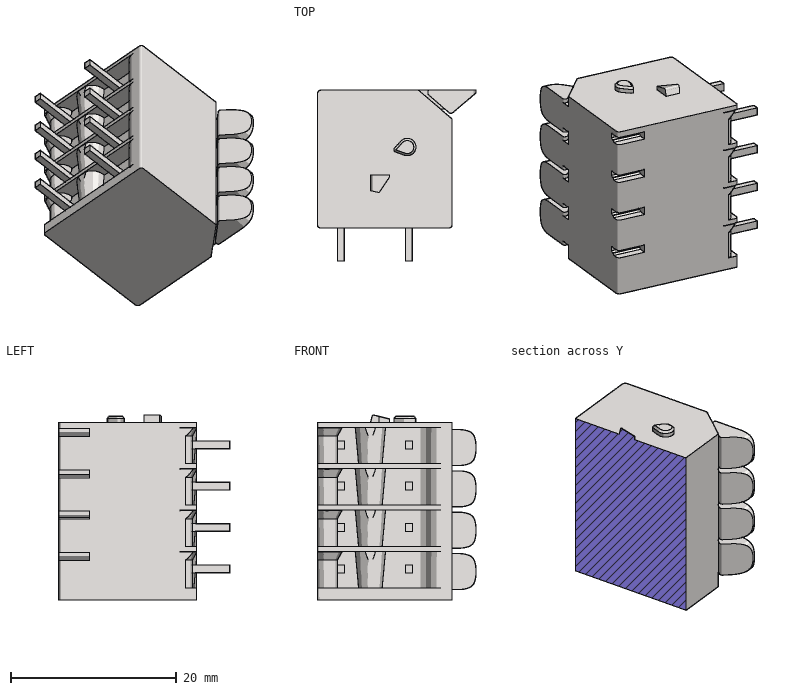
import cadquery as cq
import math


POLES = 4
PITCH = 5.0
WIDTH = 16.3
DEPTH = 16.7
BASE_WALL = 1.5
HEIGHT = BASE_WALL + POLES * PITCH

LEVER_CHAMFER_X = 4.1
LEVER_CHAMFER_Y = 3.5
BACK_ROUND = 0.45
FRONT_ROUND = 0.36

POCKET_HEIGHT = 4.4
POCKET_DEPTH = 2.0
POCKET_END_X = 14.9
POCKET_CURVE_X = 12.05

POST_X = 1.18
POST_Y = 1.78
POST_RADIUS = 1.25
POST_HEAD_RADIUS = 1.8
POST_HEAD_HEIGHT = 1.0
POST_GAP = 0.06

COLUMN_X = 6.41
COLUMN_Y = 1.79
COLUMN_FLAT_Y = 0.06
COLUMN_BOTTOM_RADIUS = 1.44
COLUMN_TOP_RADIUS = 1.84

PIN_WIDTH = 0.86
PIN_HEIGHT = 0.96
PIN_LENGTH = 4.0
PIN_CENTRES_X = (2.84, 11.07)
PIN_RISE = 2.29
PIN_EMBED = 1.0

SLOT_LENGTH = 3.7
SLOT_HEIGHT = 0.97
SLOT_RISE = 3.3
SLOT_FLOOR_DEPTH = 1.0
SLOT_RAMP = 0.2
SLOT_LEDGE = 0.15

LEVER_TIP_X = 19.2
LEVER_ROOT_X = 13.35
LEVER_ROOT_EDGE = 0.5
LEVER_TIP_EDGE = 0.35
LEVER_CORNER_X = 16.15
LEVER_CORNER_Y = 13.75
LEVER_CORNER_ROUND = 0.38
LEVER_ROOT_ROUND = 0.24
LEVER_HEIGHT = 4.38
LEVER_RISE = -0.23
LEVER_SHOULDER_START_X = 2.0
LEVER_SHOULDER_END = (0.9, 0.2)
LEVER_TIP_START = (0.15, 1.0)

STEM_START_X = WIDTH - LEVER_CHAMFER_X
STEM_END_X = 15.45
STEM_FRONT_Y = 14.4
STEM_INSET = 0.5

STUD_BIG = (10.87, 9.80, 1.05)
STUD_SMALL = (9.57, 9.48, 0.31)
STUD_HEIGHT = 0.77
STUD_CHAMFER_HEIGHT = 0.27
STUD_CHAMFER_WIDTH = 0.26

KEY_LEFT = 6.43
KEY_RIGHT = 8.74
KEY_HEIGHT = 0.9
KEY_LOW_HEIGHT = 0.42
KEY_DRAFT = 0.15
KEY_ROUND = 0.25
KEY_BACK_Y = 6.4
KEY_RIGHT_Y = 6.2
KEY_FRONT = (7.47, 4.29)
KEY_LEFT_Y = 4.52


def pole_floors():
    """Z of the pocket floor of every pole."""
    return [BASE_WALL + i * PITCH for i in range(POLES)]


def make_housing():
    """Solid block with the lever corner cut off and three vertical edges rounded."""
    body = (
        cq.Workplane("XY")
        .moveTo(0, 0)
        .lineTo(WIDTH, 0)
        .lineTo(WIDTH, DEPTH - LEVER_CHAMFER_Y)
        .lineTo(WIDTH - LEVER_CHAMFER_X, DEPTH)
        .lineTo(0, DEPTH)
        .close()
        .extrude(HEIGHT)
    )
    back_corner = cq.selectors.NearestToPointSelector((0, DEPTH, HEIGHT / 2))
    body = body.edges("|Z").edges(back_corner).fillet(BACK_ROUND)
    return body.faces("<Y").edges("|Z").fillet(FRONT_ROUND)


def make_pocket(floor_z):
    """Pocket whose +X end is an S-curve of two equal arcs."""
    half_x = (POCKET_END_X - POCKET_CURVE_X) / 2
    half_y = POCKET_DEPTH / 2
    mid_x = POCKET_CURVE_X + half_x
    radius = (half_x**2 + half_y**2) / (2 * half_y)
    half_angle = math.asin(half_x / radius) / 2
    bulge_x = radius * math.sin(half_angle)
    bulge_y = radius * (1 - math.cos(half_angle))
    return (
        cq.Workplane("XY", origin=(0, 0, floor_z))
        .moveTo(0, 0)
        .lineTo(POCKET_END_X, 0)
        .threePointArc((POCKET_END_X - bulge_x, bulge_y), (mid_x, half_y))
        .threePointArc((POCKET_CURVE_X + bulge_x, POCKET_DEPTH - bulge_y), (POCKET_CURVE_X, POCKET_DEPTH))
        .lineTo(0, POCKET_DEPTH)
        .close()
        .extrude(POCKET_HEIGHT)
    )


def make_post(floor_z):
    """Round post with a cone flaring up to a thin gap below the pocket ceiling."""
    shaft_height = POCKET_HEIGHT - POST_GAP
    shaft = (
        cq.Workplane("XY", origin=(POST_X, POST_Y, floor_z))
        .circle(POST_RADIUS)
        .extrude(shaft_height)
    )
    head = cq.Workplane(
        cq.Solid.makeCone(
            POST_RADIUS,
            POST_HEAD_RADIUS,
            POST_HEAD_HEIGHT,
            cq.Vector(POST_X, POST_Y, floor_z + shaft_height - POST_HEAD_HEIGHT),
        )
    )
    return shaft.union(head)


def make_column(floor_z):
    """Tapered column with a flat that trims its bulge just behind the pin face."""
    cone = cq.Workplane(
        cq.Solid.makeCone(
            COLUMN_BOTTOM_RADIUS,
            COLUMN_TOP_RADIUS,
            POCKET_HEIGHT,
            cq.Vector(COLUMN_X, COLUMN_Y, floor_z),
        )
    )
    trim = cq.Workplane("XY").box(
        2 * COLUMN_TOP_RADIUS, DEPTH, POCKET_HEIGHT, centered=(True, False, False)
    ).translate((COLUMN_X, COLUMN_FLAT_Y, floor_z))
    return cone.intersect(trim)


def make_pin(center_x, floor_z):
    """Rectangular pin that starts inside the pocket's back wall."""
    return cq.Workplane("XY").box(
        PIN_WIDTH, PIN_LENGTH + POCKET_DEPTH + PIN_EMBED, PIN_HEIGHT, centered=(True, False, True)
    ).translate((center_x, -PIN_LENGTH, floor_z + PIN_RISE))


def make_slot(floor_z):
    """Side slot with two short ramps and a ledge between its floor and its inner wall."""
    inner_x = SLOT_FLOOR_DEPTH + 2 * SLOT_RAMP + SLOT_LEDGE
    bottom_z = floor_z + SLOT_RISE
    return (
        cq.Workplane("XZ", origin=(0, DEPTH, 0))
        .moveTo(0, bottom_z)
        .lineTo(SLOT_FLOOR_DEPTH, bottom_z)
        .lineTo(SLOT_FLOOR_DEPTH + SLOT_RAMP, bottom_z + SLOT_RAMP)
        .lineTo(inner_x - SLOT_RAMP, bottom_z + SLOT_RAMP)
        .lineTo(inner_x, bottom_z + 2 * SLOT_RAMP)
        .lineTo(inner_x, bottom_z + SLOT_HEIGHT)
        .lineTo(0, bottom_z + SLOT_HEIGHT)
        .close()
        .extrude(SLOT_LENGTH)
    )


def make_lever(floor_z):
    """Triangular lever with a rounded tip, and the stem joining it to the housing."""
    bottom_z = floor_z + LEVER_RISE
    half_height = LEVER_HEIGHT / 2
    shoulder_end = (LEVER_TIP_X - LEVER_SHOULDER_END[0], half_height - LEVER_SHOULDER_END[1])
    tip_start = (LEVER_TIP_X - LEVER_TIP_START[0], half_height - LEVER_TIP_START[1])
    plan = (
        cq.Workplane("XY", origin=(0, 0, bottom_z))
        .moveTo(LEVER_ROOT_X, DEPTH)
        .lineTo(LEVER_ROOT_X, DEPTH - LEVER_ROOT_EDGE)
        .lineTo(LEVER_CORNER_X, LEVER_CORNER_Y)
        .lineTo(LEVER_TIP_X, DEPTH - LEVER_TIP_EDGE)
        .lineTo(LEVER_TIP_X, DEPTH)
        .close()
        .extrude(LEVER_HEIGHT)
        .edges("|Z and <Y")
        .fillet(LEVER_CORNER_ROUND)
        .edges("|Z and <X")
        .fillet(LEVER_ROOT_ROUND)
    )
    rounding = (
        cq.Workplane("XZ", origin=(0, DEPTH, bottom_z + half_height))
        .moveTo(LEVER_ROOT_X, 0)
        .lineTo(LEVER_ROOT_X, half_height)
        .lineTo(LEVER_TIP_X - LEVER_SHOULDER_START_X, half_height)
        .tangentArcPoint(shoulder_end, relative=False)
        .tangentArcPoint(tip_start, relative=False)
        .tangentArcPoint((LEVER_TIP_X, 0), relative=False)
        .mirrorX()
        .extrude(DEPTH)
    )
    stem = cq.Workplane("XY").box(
        STEM_END_X - STEM_START_X,
        DEPTH - STEM_FRONT_Y,
        LEVER_HEIGHT - 2 * STEM_INSET,
        centered=False,
    ).translate((STEM_START_X, STEM_FRONT_Y, bottom_z + STEM_INSET))
    return plan.intersect(rounding).union(stem)


def circle_point(circle, angle):
    """Point on a circle (x, y, radius) at the given angle."""
    center_x, center_y, radius = circle
    return (center_x + radius * math.cos(angle), center_y + radius * math.sin(angle))


def make_stud():
    """Drop shape: two circles joined by their outer tangents, chamfered on top."""
    span_x = STUD_BIG[0] - STUD_SMALL[0]
    span_y = STUD_BIG[1] - STUD_SMALL[1]
    axis = math.atan2(span_y, span_x)
    spread = math.acos((STUD_SMALL[2] - STUD_BIG[2]) / math.hypot(span_x, span_y))
    upper = axis + spread
    lower = axis - spread
    return (
        cq.Workplane("XY", origin=(0, 0, HEIGHT))
        .moveTo(*circle_point(STUD_BIG, lower))
        .threePointArc(circle_point(STUD_BIG, axis), circle_point(STUD_BIG, upper))
        .lineTo(*circle_point(STUD_SMALL, upper))
        .threePointArc(circle_point(STUD_SMALL, axis + math.pi), circle_point(STUD_SMALL, lower))
        .close()
        .extrude(STUD_HEIGHT)
        .faces(">Z")
        .edges()
        .chamfer(STUD_CHAMFER_HEIGHT, STUD_CHAMFER_WIDTH)
    )


def make_key():
    """Wedge with a drafted, rounded left side and a top that falls toward +X."""
    plan = (
        cq.Workplane("XY", origin=(0, 0, HEIGHT))
        .polyline(
            [
                (KEY_LEFT, KEY_LEFT_Y),
                KEY_FRONT,
                (KEY_RIGHT, KEY_RIGHT_Y),
                (KEY_RIGHT, KEY_BACK_Y),
                (KEY_LEFT, KEY_BACK_Y),
            ]
        )
        .close()
        .extrude(KEY_HEIGHT)
    )
    profile = (
        cq.Workplane("XZ", origin=(0, DEPTH, HEIGHT))
        .moveTo(KEY_LEFT, 0)
        .lineTo(KEY_LEFT + KEY_DRAFT, KEY_HEIGHT - KEY_ROUND)
        .radiusArc((KEY_LEFT + KEY_DRAFT + KEY_ROUND, KEY_HEIGHT), KEY_ROUND)
        .lineTo(KEY_RIGHT, KEY_LOW_HEIGHT)
        .lineTo(KEY_RIGHT, 0)
        .close()
        .extrude(DEPTH)
    )
    return plan.intersect(profile)


housing = make_housing()
envelope = make_housing()

for floor in pole_floors():
    housing = housing.cut(make_pocket(floor)).cut(make_slot(floor))
    fillers = make_post(floor).union(make_column(floor))
    housing = housing.union(fillers.intersect(envelope))
    for pin_x in PIN_CENTRES_X:
        housing = housing.union(make_pin(pin_x, floor))
    housing = housing.union(make_lever(floor))

result = housing.union(make_stud()).union(make_key())